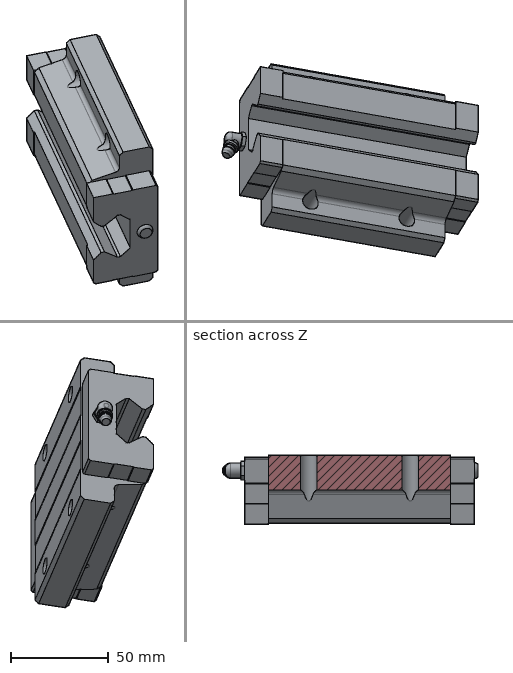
import cadquery as cq
import math


block_length = 93.3
total_width = 90.0
flange_thickness = 18.0
flange_chamfer = 2.0
block_depth = 35.0
skirt_root_half_width = 32.9
skirt_edge_depth = 32.6
skirt_edge_half_width = 30.1
skirt_tip_half_width = 27.8
skirt_root_radius = 2.6

relief_depth = 0.4
relief_inner = 8.1
relief_outer = 26.1

hole_diameter = 8.4
hole_spacing_x = 52.0
hole_spacing_z = 72.1

cap_length = 12.2
cap_half_width = 29.1
cap_back_depth = 1.0
cap_front_depth = 35.5
cap_back_chamfer = 1.0
cap_front_chamfer = 1.0
cap_recess_start = 14.4
cap_recess_end = 25.2
cap_recess_step = 0.3
cap_recess_ramp = 0.4

channel_floor_depth = 15.9
channel_floor_half_width = 9.5
groove_half_width = 14.0
groove_start_depth = 21.1
groove_end_depth = 22.7
lip_half_width = 8.8
lip_start_depth = 29.6
lip_end_depth = 31.5

nipple_depth = 8.0
hex_flats = 8.4
hex_height = 2.0
seat_diameter = 8.4
seat_height = 2.2
elbow_diameter = 7.9
elbow_height = 10.0
elbow_rounding = 2.6
head_offset = 4.8
head_tilt = 24.0
stem_diameter = 6.8
collar_diameter = 8.0
neck_diameter = 5.5
head_diameter = 6.5
head_waist_diameter = 5.6
head_tip_diameter = 4.2
collar_start = 3.4
collar_end = 5.9
collar_chamfer = 0.5
head_start = 7.6
head_bulge_diameter = 6.3
head_bulge = 8.8
head_waist = 9.8
head_tip = 11.1
plug_base_diameter = 8.4
plug_bulge_diameter = 7.7
plug_bulge = 1.2
plug_face_diameter = 6.3
plug_height = 2.0

cap_face_x = block_length / 2 + cap_length


def mirrored_prism(half_outline, length):
    """Extrude a (depth, z) half outline, mirrored about z = 0, centred on X = 0."""
    upper = [(-depth, z) for depth, z in half_outline]
    lower = [(y, -z) for y, z in reversed(upper)]
    return cq.Workplane("YZ").polyline(upper + lower).close().extrude(length / 2, both=True)


def make_block():
    half_width = total_width / 2
    block = mirrored_prism(
        [
            (0, half_width - flange_chamfer),
            (flange_chamfer, half_width),
            (flange_thickness - flange_chamfer, half_width),
            (flange_thickness, half_width - flange_chamfer),
            (flange_thickness, skirt_root_half_width),
            (skirt_edge_depth, skirt_edge_half_width),
            (block_depth, skirt_tip_half_width),
        ],
        block_length,
    )
    for side in (1, -1):
        root = (0, -flange_thickness, side * skirt_root_half_width)
        block = block.edges(cq.selectors.NearestToPointSelector(root)).fillet(skirt_root_radius)

    relief = cq.Workplane("XY").box(block_length, 2 * relief_depth, relief_outer - relief_inner)
    for side in (1, -1):
        block = block.cut(relief.translate((0, 0, side * (relief_inner + relief_outer) / 2)))
    return block


def cut_mounting_holes(body):
    holes = (
        cq.Workplane("XZ")
        .rarray(hole_spacing_x, hole_spacing_z, 2, 2)
        .circle(hole_diameter / 2)
        .extrude(cap_front_depth)
    )
    return body.cut(holes)


def make_end_caps():
    """Both end caps; the front corner is bevelled on the -Z side only."""
    recess_half_width = cap_half_width - cap_recess_step
    bar = mirrored_prism(
        [
            (cap_back_depth, cap_half_width - cap_back_chamfer),
            (cap_back_depth + cap_back_chamfer, cap_half_width),
            (cap_recess_start, cap_half_width),
            (cap_recess_start + cap_recess_ramp, recess_half_width),
            (cap_recess_end - cap_recess_ramp, recess_half_width),
            (cap_recess_end, cap_half_width),
            (cap_front_depth, cap_half_width),
        ],
        2 * cap_face_x,
    )
    bevel_edge = (0, -cap_front_depth, -cap_half_width)
    bar = bar.edges(cq.selectors.NearestToPointSelector(bevel_edge)).chamfer(cap_front_chamfer)
    middle = cq.Workplane("XY").box(block_length, total_width, total_width)
    return bar.cut(middle)


def make_rail_channel():
    """Channel for the rail, with a ball groove and a 45 degree mouth on each side."""
    mouth_half_width = lip_half_width + cap_front_depth - lip_end_depth
    return mirrored_prism(
        [
            (channel_floor_depth, channel_floor_half_width),
            (groove_start_depth, groove_half_width),
            (groove_end_depth, groove_half_width),
            (lip_start_depth, lip_half_width),
            (lip_end_depth, lip_half_width),
            (cap_front_depth, mouth_half_width),
        ],
        2 * cap_face_x,
    )


def make_nipple_head():
    """Turned head of the nipple, revolved about its own tilted axis."""
    stem_radius = stem_diameter / 2
    collar_radius = collar_diameter / 2
    neck_radius = neck_diameter / 2
    tilt = math.radians(head_tilt)
    axis_plane = cq.Plane(
        origin=(-cap_face_x - head_offset, -nipple_depth, 0),
        xDir=(math.cos(tilt), 0, -math.sin(tilt)),
        normal=(0, 1, 0),
    )
    profile = (
        cq.Workplane(axis_plane)
        .lineTo(stem_radius, 0)
        .lineTo(stem_radius, collar_start)
        .lineTo(collar_radius, collar_start + collar_chamfer)
        .lineTo(collar_radius, collar_end - collar_chamfer)
        .lineTo(stem_radius, collar_end)
        .lineTo(neck_radius, collar_end)
        .lineTo(neck_radius, head_start)
        .lineTo(head_diameter / 2, head_start)
        .threePointArc((head_bulge_diameter / 2, head_bulge), (head_waist_diameter / 2, head_waist))
        .lineTo(head_tip_diameter / 2, head_tip)
        .lineTo(0, head_tip)
        .close()
    )
    return profile.revolve(360, (0, 0), (0, 1))


def make_nipple():
    cap_plane = cq.Plane(origin=(-cap_face_x, -nipple_depth, 0), xDir=(0, 1, 0), normal=(-1, 0, 0))
    hex_corners = hex_flats / math.cos(math.pi / 6)
    hexagon = cq.Workplane(cap_plane).polygon(6, hex_corners).extrude(hex_height)
    seat = cq.Workplane(cap_plane).circle(seat_diameter / 2).extrude(seat_height)
    elbow = cq.Workplane(cap_plane).circle(elbow_diameter / 2).extrude(elbow_height)
    elbow = elbow.faces("<X").edges().fillet(elbow_rounding)
    return hexagon.union(seat).union(elbow).union(make_nipple_head())


def make_plug():
    """Domed plug with a flat face, revolved about X."""
    profile = (
        cq.Workplane("XY", origin=(cap_face_x, -nipple_depth, 0))
        .lineTo(0, plug_base_diameter / 2)
        .threePointArc((plug_bulge, plug_bulge_diameter / 2), (plug_height, plug_face_diameter / 2))
        .lineTo(plug_height, 0)
        .close()
    )
    return profile.revolve(360, (0, 0), (1, 0))


carriage = cut_mounting_holes(make_block()).union(make_end_caps())
carriage = carriage.cut(make_rail_channel())
result = carriage.union(make_nipple()).union(make_plug())